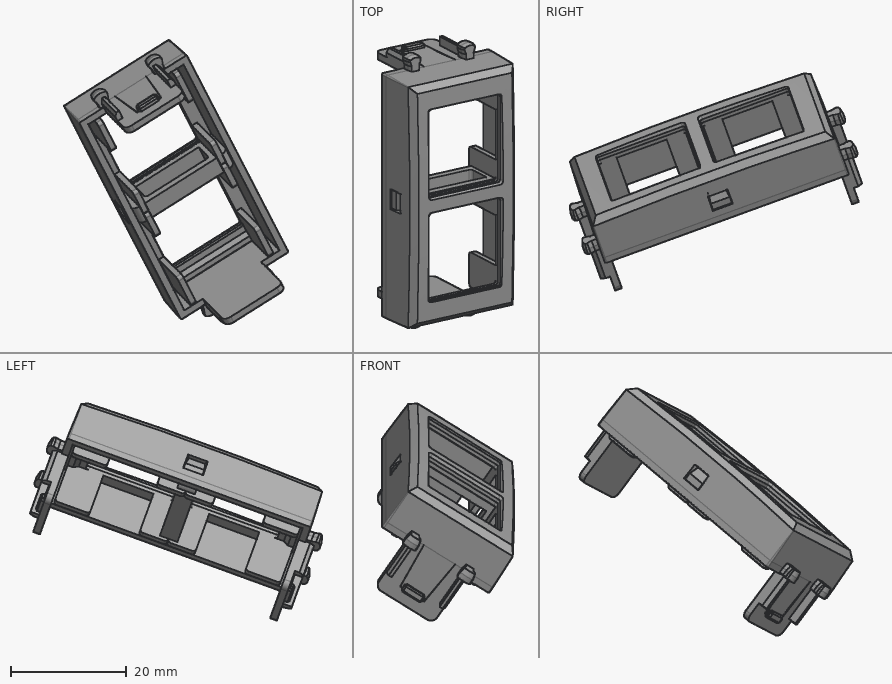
import cadquery as cq
import math


TILT_ABOUT_Y = 33.3
TILT_ABOUT_X = 20.0

RIM_W = -1.5
CREASE_W = -0.25
FACE_EDGE_W = 7.6
FACE_RISE = 0.5
HALF_WIDTH = 11.1
HALF_LENGTH = 22.45
WALL_DRAFT = 2.2
CORNER_RADIUS = 0.3
BEVEL_DROP = 1.25
BEVEL_INSET = 1.0
WALL = 1.25
FACE_UNDERSIDE_W = 6.8
CAVITY_HALF_WIDTH = HALF_WIDTH - WALL
CAVITY_HALF_LENGTH = HALF_LENGTH - WALL

WINDOW_HALF_WIDTH = 7.6
WINDOW_NEAR_V = 1.25
WINDOW_FAR_V = 17.75
WINDOW_CORNER_RADIUS = 0.45
WINDOW_BEVEL_INSET = 0.15
WINDOW_BEVEL_DROP = 0.4

NOTCH_BOTTOM_W = 1.0
NOTCH_STEP_W = 2.35
NOTCH_TOP_W = 4.05
NOTCH_SHALLOW_DEPTH = 0.4
NOTCH_DEPTH = 1.15
NOTCH_MOUTH_HALF_LENGTH = 1.85
NOTCH_BACK_HALF_LENGTH = 1.45

LEG_HALF_WIDTH = 6.05
LEG_BOTTOM_W = -11.45
LEG_CORNER_RADIUS = 1.25
WEDGE_TOP_HALF_WIDTH = 3.25
WEDGE_BOTTOM_HALF_WIDTH = 2.5
WEDGE_BOTTOM_W = -8.85
WEDGE_RISE = 0.25

RIB_HEIGHT = 1.6
RIB_STRAIGHT_HEIGHT = 0.8
RIB_INNER_U = 4.95
RIB_TIP_OUTER_U = 5.55
RIB_BOTTOM_W = -7.8

RIDGE_HALF_WIDTH = 2.1
RIDGE_TOP_W = -7.8
RIDGE_BOTTOM_W = -9.3
RIDGE_HEIGHT = 0.9
RIDGE_EDGE = 0.3

HOOK_U = 5.6
HOOK_TOP_W = 0.75
HOOK_BOTTOM_W = -1.3
HOOK_ROOT_HALF_WIDTH = 1.0
HOOK_TIP_HALF_WIDTH = 1.3
HOOK_FLARE_START = 0.85
HOOK_FLARE_END = 1.7
HOOK_SHOULDER = 2.25
HOOK_REACH = 2.7
HOOK_BEVEL_DROP = 1.0
HOOK_BEVEL_INSET = 0.25

INSERT_PLATE_BOTTOM_W = 6.05
FLAP_INNER_U = WINDOW_HALF_WIDTH - WINDOW_BEVEL_INSET
FLAP_OUTER_U = 8.5
FLAP_BOTTOM_W = -2.35
FLAP_CORNER_RADIUS = 0.6
INNER_FLAP_END_V = 5.1
OUTER_FLAP_START_V = 14.35
OUTER_FLAP_END_V = 20.75
BRIDGE_HALF_THICKNESS = 1.6
BRIDGE_BOTTOM_W = -1.65
BRIDGE_CORNER_RADIUS = 1.5
BRIDGE_OPENING_HALF_WIDTH = 6.55
BRIDGE_OPENING_BOTTOM_W = -0.15
BRIDGE_OPENING_TOP_W = 4.5
BRIDGE_OPENING_RADIUS = 0.6
RAMP_END_V = 19.75
RAMP_BOTTOM_W = 5.45


def box(u0, u1, v0, v1, w0, w1):
    return cq.Workplane("XY").box(u1 - u0, v1 - v0, w1 - w0, centered=False).translate((u0, v0, w0))


def both_ends(shape):
    """The shape and its mirror image across V = 0."""
    return shape.union(shape.mirror("XZ"))


def both_sides(shape):
    """The shape and its mirror image across U = 0."""
    return shape.union(shape.mirror("YZ"))


def rounded_prism(width, length, radius, w0, w1, center_v=0, taper=0):
    """Upright prism on a rounded rectangle; a positive taper narrows it upwards."""
    return (
        cq.Workplane("XY")
        .workplane(offset=w0)
        .center(0, center_v)
        .sketch()
        .rect(width, length)
        .vertices()
        .fillet(radius)
        .finalize()
        .extrude(w1 - w0, taper=taper)
    )


def window_prisms(w0, w1, taper=0):
    """The two window openings as solids."""
    length = WINDOW_FAR_V - WINDOW_NEAR_V - 2 * WINDOW_BEVEL_INSET
    center_v = (WINDOW_NEAR_V + WINDOW_FAR_V) / 2
    return both_ends(rounded_prism(2 * FLAP_INNER_U, length, WINDOW_CORNER_RADIUS, w0, w1, center_v, taper))


def window_cutter():
    """Window openings through the housing face, bevelled along their front edges."""
    bevel_start_w = FACE_EDGE_W + FACE_RISE / 2 - WINDOW_BEVEL_DROP
    bevel_angle = math.degrees(math.atan2(WINDOW_BEVEL_INSET, WINDOW_BEVEL_DROP))
    straight = window_prisms(FACE_UNDERSIDE_W - 0.5, bevel_start_w)
    return straight.union(window_prisms(bevel_start_w, FACE_EDGE_W + 1, taper=-bevel_angle))


def outer_block():
    """Solid outer shape of the housing: straight skirt, drafted walls and bevelled crowned face."""
    crown_w = FACE_EDGE_W + FACE_RISE
    width = 2 * HALF_WIDTH
    length = 2 * HALF_LENGTH
    skirt = rounded_prism(width, length, CORNER_RADIUS, RIM_W, CREASE_W)
    top_w = crown_w + 0.5
    walls = cq.Workplane("XY").workplane(offset=CREASE_W).rect(width, length)
    walls = walls.extrude(top_w - CREASE_W, taper=WALL_DRAFT)
    rounding = rounded_prism(width, length, CORNER_RADIUS, CREASE_W, top_w, taper=WALL_DRAFT)
    crown = (
        cq.Workplane("YZ")
        .moveTo(-HALF_LENGTH, CREASE_W)
        .lineTo(HALF_LENGTH, CREASE_W)
        .lineTo(HALF_LENGTH, FACE_EDGE_W)
        .threePointArc((0, crown_w), (-HALF_LENGTH, FACE_EDGE_W))
        .close()
        .extrude(HALF_WIDTH, both=True)
    )
    bevelled = walls.intersect(crown).faces(">Z").chamfer(BEVEL_DROP, BEVEL_INSET)
    return bevelled.intersect(rounding).union(skirt)


def wall_notch():
    """Cutter for the notch in the +U wall: its back slopes deeper upwards and its ends close in."""
    back_u = HALF_WIDTH - NOTCH_DEPTH
    side_profile = (
        cq.Workplane("XZ")
        .polyline([
            (HALF_WIDTH, NOTCH_BOTTOM_W),
            (HALF_WIDTH - NOTCH_SHALLOW_DEPTH, NOTCH_BOTTOM_W),
            (HALF_WIDTH - NOTCH_SHALLOW_DEPTH, NOTCH_STEP_W),
            (back_u, NOTCH_TOP_W),
            (HALF_WIDTH, NOTCH_TOP_W),
        ])
        .close()
        .extrude(NOTCH_MOUTH_HALF_LENGTH, both=True)
    )
    plan = (
        cq.Workplane("XY")
        .workplane(offset=NOTCH_BOTTOM_W)
        .polyline([
            (HALF_WIDTH, -NOTCH_MOUTH_HALF_LENGTH),
            (HALF_WIDTH, NOTCH_MOUTH_HALF_LENGTH),
            (back_u, NOTCH_BACK_HALF_LENGTH),
            (back_u, -NOTCH_BACK_HALF_LENGTH),
        ])
        .close()
        .extrude(NOTCH_TOP_W - NOTCH_BOTTOM_W)
    )
    return side_profile.intersect(plan)


def leg():
    """Leg at the +V end, flush with the end wall, with its shallow wedge."""
    plate = box(-LEG_HALF_WIDTH, LEG_HALF_WIDTH, CAVITY_HALF_LENGTH, HALF_LENGTH, LEG_BOTTOM_W, RIM_W)
    plate = plate.edges("|Y and <Z").fillet(LEG_CORNER_RADIUS)
    slope = (
        cq.Workplane("YZ")
        .polyline([
            (HALF_LENGTH, CREASE_W),
            (HALF_LENGTH + WEDGE_RISE, WEDGE_BOTTOM_W),
            (HALF_LENGTH, WEDGE_BOTTOM_W),
        ])
        .close()
        .extrude(WEDGE_TOP_HALF_WIDTH, both=True)
    )
    sides = (
        cq.Workplane("XZ")
        .polyline([
            (-WEDGE_TOP_HALF_WIDTH, CREASE_W),
            (WEDGE_TOP_HALF_WIDTH, CREASE_W),
            (WEDGE_BOTTOM_HALF_WIDTH, WEDGE_BOTTOM_W),
            (-WEDGE_BOTTOM_HALF_WIDTH, WEDGE_BOTTOM_W),
        ])
        .close()
        .extrude(-HALF_LENGTH - WEDGE_RISE)
    )
    return plate.union(slope.intersect(sides))


def rib():
    """Rib along the +U edge of the +V leg, with a sloping outer flank."""
    tip_v = HALF_LENGTH + RIB_HEIGHT
    return (
        cq.Workplane("XY")
        .workplane(offset=RIB_BOTTOM_W)
        .polyline([
            (RIB_INNER_U, HALF_LENGTH),
            (LEG_HALF_WIDTH, HALF_LENGTH),
            (LEG_HALF_WIDTH, HALF_LENGTH + RIB_STRAIGHT_HEIGHT),
            (RIB_TIP_OUTER_U, tip_v),
            (RIB_INNER_U, tip_v),
        ])
        .close()
        .extrude(HOOK_BOTTOM_W - RIB_BOTTOM_W)
    )


def latch_ridge():
    ridge = box(
        -RIDGE_HALF_WIDTH, RIDGE_HALF_WIDTH,
        HALF_LENGTH, HALF_LENGTH + RIDGE_HEIGHT,
        RIDGE_BOTTOM_W, RIDGE_TOP_W,
    )
    return ridge.edges("|Y").chamfer(RIDGE_EDGE).faces(">Y").chamfer(RIDGE_EDGE)


def hook():
    """Hook on the +V end wall: flares outwards to a rounded end, with a bevelled upper rim."""
    def outline_points(side):
        return [
            (HOOK_U + side * HOOK_ROOT_HALF_WIDTH, HALF_LENGTH - WALL / 2),
            (HOOK_U + side * HOOK_ROOT_HALF_WIDTH, HALF_LENGTH + HOOK_FLARE_START),
            (HOOK_U + side * HOOK_TIP_HALF_WIDTH, HALF_LENGTH + HOOK_FLARE_END),
            (HOOK_U + side * HOOK_TIP_HALF_WIDTH, HALF_LENGTH + HOOK_SHOULDER),
        ]

    left = outline_points(-1)
    right = outline_points(1)
    block = (
        cq.Workplane("XY")
        .workplane(offset=HOOK_BOTTOM_W)
        .polyline(left[::-1] + right)
        .threePointArc((HOOK_U, HALF_LENGTH + HOOK_REACH), left[-1])
        .close()
        .extrude(HOOK_TOP_W - HOOK_BOTTOM_W)
    )
    return block.faces(">Z").chamfer(HOOK_BEVEL_DROP, HOOK_BEVEL_INSET)


def make_housing():
    cavity = box(
        -CAVITY_HALF_WIDTH, CAVITY_HALF_WIDTH,
        -CAVITY_HALF_LENGTH, CAVITY_HALF_LENGTH,
        RIM_W, FACE_UNDERSIDE_W,
    )
    shell = outer_block().cut(cavity)
    shell = shell.cut(window_cutter())
    shell = shell.cut(both_sides(wall_notch()))
    end_parts = leg().union(latch_ridge()).union(both_sides(rib())).union(both_sides(hook()))
    return shell.union(both_ends(end_parts))


def flap(v0, v1):
    """Flap on the +U side, from the insert plate down past the housing rim."""
    panel = box(FLAP_INNER_U, FLAP_OUTER_U, v0, v1, FLAP_BOTTOM_W, INSERT_PLATE_BOTTOM_W)
    return panel.edges("|X and <Z").fillet(FLAP_CORNER_RADIUS)


def bridge():
    """Cross bridge between the windows, open through its middle."""
    bar = box(
        -CAVITY_HALF_WIDTH, CAVITY_HALF_WIDTH,
        -BRIDGE_HALF_THICKNESS, BRIDGE_HALF_THICKNESS,
        BRIDGE_BOTTOM_W, INSERT_PLATE_BOTTOM_W,
    ).edges("|Y and <Z").fillet(BRIDGE_CORNER_RADIUS)
    opening = box(
        -BRIDGE_OPENING_HALF_WIDTH, BRIDGE_OPENING_HALF_WIDTH,
        -BRIDGE_HALF_THICKNESS, BRIDGE_HALF_THICKNESS,
        BRIDGE_OPENING_BOTTOM_W, BRIDGE_OPENING_TOP_W,
    ).edges("|Y and <Z").fillet(BRIDGE_OPENING_RADIUS)
    return bar.cut(opening)


def end_ramp():
    """Block under the insert plate at the +V end, sloping down from the window edge."""
    return (
        cq.Workplane("YZ")
        .polyline([
            (WINDOW_FAR_V - WINDOW_BEVEL_INSET, FACE_UNDERSIDE_W),
            (RAMP_END_V, RAMP_BOTTOM_W),
            (OUTER_FLAP_END_V, RAMP_BOTTOM_W),
            (OUTER_FLAP_END_V, FACE_UNDERSIDE_W),
        ])
        .close()
        .extrude(FLAP_INNER_U, both=True)
    )


def make_insert():
    plate = box(
        -CAVITY_HALF_WIDTH, CAVITY_HALF_WIDTH,
        -CAVITY_HALF_LENGTH, CAVITY_HALF_LENGTH,
        INSERT_PLATE_BOTTOM_W, FACE_UNDERSIDE_W,
    )
    plate = plate.cut(window_prisms(INSERT_PLATE_BOTTOM_W, FACE_UNDERSIDE_W))
    flaps = flap(0, INNER_FLAP_END_V).union(flap(OUTER_FLAP_START_V, OUTER_FLAP_END_V))
    flaps = both_ends(both_sides(flaps))
    return plate.union(bridge()).union(flaps).union(both_ends(end_ramp()))


def posed(body):
    """The body turned from its upright position into its final pose."""
    turned = body.rotate((0, 0, 0), (0, 1, 0), TILT_ABOUT_Y)
    return turned.rotate((0, 0, 0), (1, 0, 0), TILT_ABOUT_X)


housing = posed(make_housing())
insert = posed(make_insert())
result = cq.Compound.makeCompound([housing.val(), insert.val()])